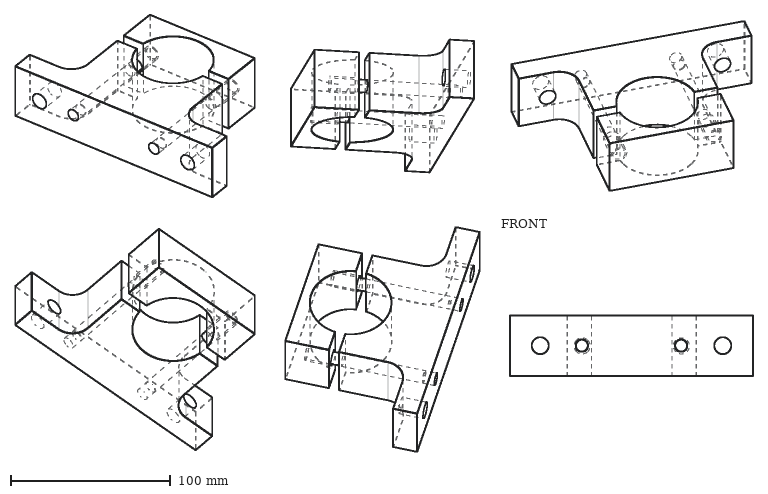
import cadquery as cq

length = 152.4
height = 95.2
thickness = 38.1

foot_height = 15.8
block_width = 81.2
foot_fillet = 12.8
edge_break = 0.26

bore_diameter = 50.9
bore_height = 63.5
gap = 6.4
base_top = bore_height - gap / 2
cap_bottom = bore_height + gap / 2

mount_spacing = 114.3
mount_diameter = 10.5

pin_spacing = 62.2
pin_diameter = 8.0
pin_tip_chamfer = 0.3
cap_hole_diameter = 10.0
pin_start = 7.6
pin_end = 83.8


def block(width, bottom, top):
    """Box centred on X and Z that spans bottom to top along Y."""
    centre_height = (bottom + top) / 2
    return cq.Workplane("XY", origin=(0, centre_height, 0)).box(width, top - bottom, thickness)


def rod(x, diameter, start, end):
    """Cylinder along Y at the given X, in the middle of the thickness."""
    return cq.Workplane("XZ", origin=(x, start, 0)).circle(diameter / 2).extrude(start - end)


def pair(spacing):
    """X places of two features set symmetrically about the centre."""
    return (-spacing / 2, spacing / 2)


def cut_bore(body):
    """Cut the clamped bore along Z, then break the rims of the two Z faces."""
    bore = cq.Workplane("XY", origin=(0, bore_height, 0)).circle(bore_diameter / 2)
    body = body.cut(bore.extrude(thickness / 2, both=True))
    return body.faces(">Z or <Z").edges().chamfer(edge_break)


def make_base():
    """Foot and upright with filleted inner corners, the lower half of the bore and the holes."""
    foot = block(length, 0, foot_height).edges("|Z").chamfer(edge_break)
    upright = block(block_width, 0, base_top).edges("|Z and >Y").chamfer(edge_break)
    body = foot.union(upright)
    for x in pair(block_width):
        inner_corner = cq.NearestToPointSelector((x, foot_height, 0))
        body = body.edges("|Z").edges(inner_corner).fillet(foot_fillet)
    body = cut_bore(body)
    for x in pair(mount_spacing):
        body = body.cut(rod(x, mount_diameter, 0, base_top))
    for x in pair(pin_spacing):
        body = body.cut(rod(x, pin_diameter, 0, base_top))
    return body


def make_cap():
    """Upper half of the clamp, with blind clearance holes that stop at the pin ends."""
    body = cut_bore(block(block_width, cap_bottom, height).edges("|Z").chamfer(edge_break))
    for x in pair(pin_spacing):
        body = body.cut(rod(x, cap_hole_diameter, cap_bottom, pin_end))
    return body


def make_pin(x):
    """Clamping pin with a chamfered tip inside the base."""
    return rod(x, pin_diameter, pin_start, pin_end).faces("<Y").chamfer(pin_tip_chamfer)


base = make_base()
cap = make_cap()
pins = [make_pin(x) for x in pair(pin_spacing)]

result = cq.Compound.makeCompound([base.val(), cap.val(), *[pin.val() for pin in pins]])